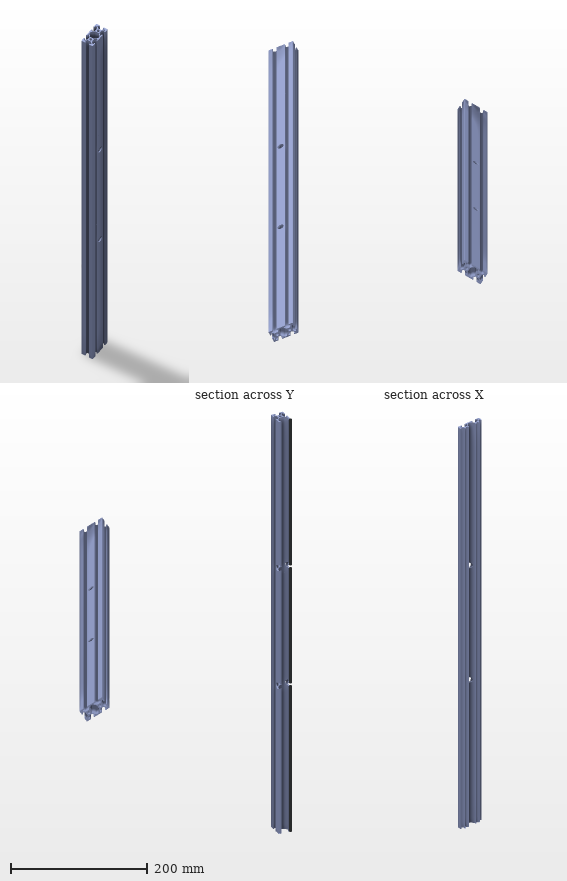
import cadquery as cq

LENGTH = 700.0
DEPTH = 40.0
WIDTH = DEPTH / 2
HALF_UNIT = WIDTH / 2
WALL = 1.95
CORNER_RADIUS = 0.9

SLOT_HALF_OPENING = 3.1
SLOT_HALF_CAVITY = 5.9
SLOT_HALF_FLOOR = 2.9
SLOT_FLOOR_OFFSET = 4.0

BORE_DIAMETER = 4.3

CHANNEL_HALF_FLOOR = 3.35
CHANNEL_FLOOR_OFFSET = 3.6

HOLE_DIAMETER = 10.0
HOLE_SPACING = 200.0

UNIT_CENTERS = (-HALF_UNIT, HALF_UNIT)
INNER_FACE = HALF_UNIT - WALL


def extruded_outline(points):
    """Closed outline in XY carried along the full length."""
    return cq.Workplane("XY").polyline(points).close().extrude(LENGTH)


def t_slot():
    """Slot opening toward +X, with 45 degree flanks, for a unit centred on the origin."""
    flank_end = SLOT_FLOOR_OFFSET + SLOT_HALF_CAVITY - SLOT_HALF_FLOOR
    upper = [
        (SLOT_FLOOR_OFFSET, SLOT_HALF_FLOOR),
        (flank_end, SLOT_HALF_CAVITY),
        (INNER_FACE, SLOT_HALF_CAVITY),
        (INNER_FACE, SLOT_HALF_OPENING),
        (HALF_UNIT, SLOT_HALF_OPENING),
    ]
    lower = [(x, -y) for x, y in reversed(upper)]
    return extruded_outline(upper + lower)


def middle_channel():
    """Channel with 45 degree flanks that run from its end faces to the side walls."""
    end_y = HALF_UNIT - CHANNEL_FLOOR_OFFSET
    side_y = end_y - (INNER_FACE - CHANNEL_HALF_FLOOR)
    right = [
        (CHANNEL_HALF_FLOOR, end_y),
        (INNER_FACE, side_y),
        (INNER_FACE, -side_y),
        (CHANNEL_HALF_FLOOR, -end_y),
    ]
    left = [(-x, -y) for x, y in right]
    return extruded_outline(right + left)


def core_bores():
    centers = [(0, y) for y in UNIT_CENTERS]
    return cq.Workplane("XY").pushPoints(centers).circle(BORE_DIAMETER / 2).extrude(LENGTH)


def cross_holes():
    heights = (LENGTH / 2 - HOLE_SPACING / 2, LENGTH / 2 + HOLE_SPACING / 2)
    centers = [(0, z) for z in heights]
    holes = cq.Workplane("YZ").pushPoints(centers).circle(HOLE_DIAMETER / 2)
    return holes.extrude(WIDTH, both=True)


profile = cq.Workplane("XY").box(WIDTH, DEPTH, LENGTH, centered=(True, True, False))
profile = profile.edges("|Z").fillet(CORNER_RADIUS)

for center_y in UNIT_CENTERS:
    end_angle = 90 if center_y > 0 else -90
    for angle in (0, end_angle, 180):
        slot = t_slot().rotate((0, 0, 0), (0, 0, 1), angle)
        profile = profile.cut(slot.translate((0, center_y, 0)))

profile = profile.cut(core_bores())
profile = profile.cut(middle_channel())
result = profile.cut(cross_holes())